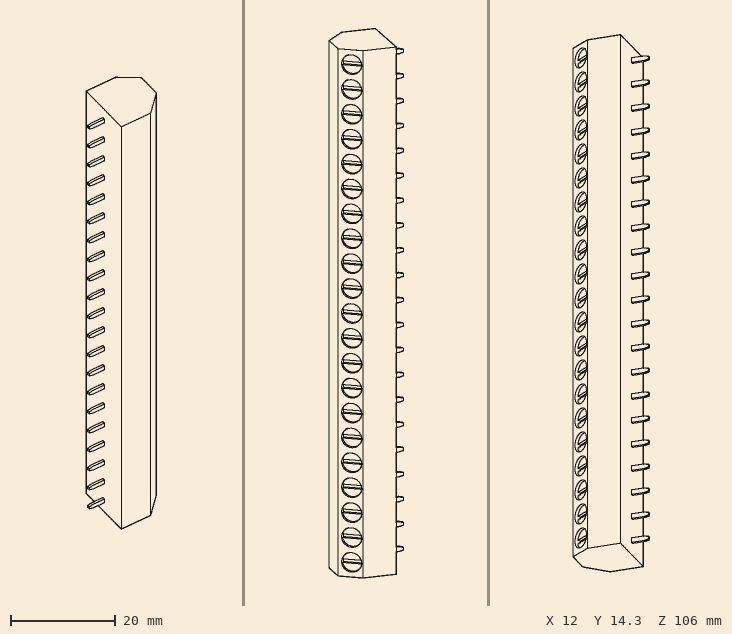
import cadquery as cq

pole_count = 21
strip_length = 106.0
end_margin = 3.0
pole_pitch = (strip_length - 2 * end_margin) / (pole_count - 1)

body_width = 12.0
body_depth = 10.8
bevel_depth = 4.0
screw_bevel_width = 2.8
plain_bevel_width = 4.0

pin_thickness = 0.5
pin_height = 1.0
pin_length = 3.5
tip_length = 0.8
tip_height = 0.5

recess_diameter = 3.9
recess_depth = 0.6
recess_offset = 0.2
slot_width = 0.7
slot_depth = 0.6

half_width = body_width / 2
top_pole_z = strip_length - end_margin
pole_heights = [top_pole_z - i * pole_pitch for i in range(pole_count)]


def make_housing():
    """Rectangular section with both rear corners bevelled, extruded along Z."""
    shoulder_y = body_depth - bevel_depth
    outline = [
        (-half_width, 0),
        (half_width, 0),
        (half_width, shoulder_y),
        (half_width - plain_bevel_width, body_depth),
        (-half_width + screw_bevel_width, body_depth),
        (-half_width, shoulder_y),
    ]
    return cq.Workplane("XY").polyline(outline).close().extrude(strip_length)


def make_pin(z):
    """Flat pin whose end tapers in height, rooted in the front face."""
    shank_end = -(pin_length - tip_length)
    outline = [
        (0, z - pin_height / 2),
        (shank_end, z - pin_height / 2),
        (-pin_length, z - tip_height / 2),
        (-pin_length, z + tip_height / 2),
        (shank_end, z + pin_height / 2),
        (0, z + pin_height / 2),
    ]
    return cq.Workplane("YZ").polyline(outline).close().extrude(pin_thickness / 2, both=True)


def make_screw_recess(z):
    """Round recess square to the screw bevel, with a driver slot across its floor."""
    bevel_centre = cq.Vector(-half_width + screw_bevel_width / 2, body_depth - bevel_depth / 2, z)
    bevel_run = cq.Vector(screw_bevel_width, bevel_depth, 0)
    outward = cq.Vector(-bevel_depth, screw_bevel_width, 0)
    bevel = cq.Workplane(cq.Plane(bevel_centre, bevel_run, outward)).center(-recess_offset, 0)
    bore = bevel.circle(recess_diameter / 2).extrude(-recess_depth)
    slot_floor = recess_depth + slot_depth
    slot_bar = bevel.rect(recess_diameter, slot_width).extrude(-slot_floor)
    slot_limit = bevel.circle(recess_diameter / 2).extrude(-slot_floor)
    return bore.union(slot_bar.intersect(slot_limit))


result = make_housing()
for pole_z in pole_heights:
    result = result.union(make_pin(pole_z)).cut(make_screw_recess(pole_z))